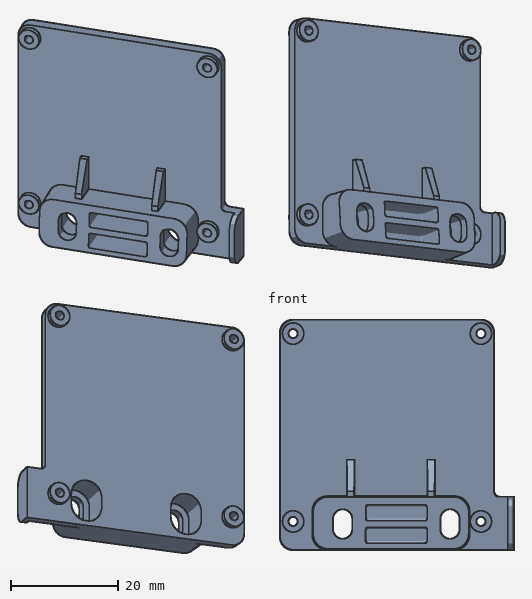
import cadquery as cq
import math


total_width = 43.7
plate_width = 40.0
plate_height = 43.0
plate_thickness = 2.0
plate_corner_radius = 2.5
tab_height = 10.0
tab_inner_radius = 1.0
draft_angle = 2.0

lip_thickness = 1.2
lip_reach = 3.0
lip_corner_radius = 2.4

boss_diameter = 3.98
boss_height = 1.0
boss_hole_diameter = 1.65
boss_left = 2.5
boss_bottom = 5.38
boss_pitch = 35.0

pedestal_left = 6.05
pedestal_width = 29.35
pedestal_height = 10.05
pedestal_corner_radius = 2.9
pedestal_reach_bottom = 6.5
face_lean_angle = 5.0

openings_x = 21.7
openings_z = 4.9
slot_pitch = 20.0
slot_width = 3.55
slot_height = 5.45
slot_ledge_reach = 4.0
slot_head_clearance = 1.25
recess_width = 11.5
recess_height = 3.0
recess_pitch = 4.2
recess_draft = 1.0
recess_edge_radius = 0.5

rib_pitch = 15.0
rib_width = 1.5
rib_reach = 3.98
rib_top = 16.9
rib_top_reach = 1.0
rib_nose_top = 11.0

draft_slope = math.tan(math.radians(draft_angle))
plate_inset = plate_thickness * draft_slope
pedestal_bottom = plate_inset
pedestal_centre_x = pedestal_left + pedestal_width / 2
pedestal_centre_z = pedestal_bottom + pedestal_height / 2
rib_foot = pedestal_centre_z
sides = (-1, 1)


def facing_front(y):
    """Workplane at depth y whose local axes are X and Z and whose normal is -Y."""
    return cq.Workplane("XZ", origin=(0, y, 0))


def drafted_slab(width, height):
    """Plate-thick slab from the origin, narrowing towards its front face."""
    slab = facing_front(plate_thickness).rect(width, height, centered=False)
    return slab.extrude(plate_thickness, taper=draft_angle)


def make_plate():
    """Drafted plate and tab with rounded outer corners and a filleted inner corner."""
    middle = plate_thickness / 2
    plate = drafted_slab(plate_width, plate_height).union(drafted_slab(total_width, tab_height))
    rounded_corners = [
        (0, 0, plate_corner_radius),
        (0, plate_height, plate_corner_radius),
        (plate_width, plate_height, plate_corner_radius),
        (plate_width, tab_height, tab_inner_radius),
    ]
    for x, z, radius in rounded_corners:
        corner = cq.selectors.NearestToPointSelector((x, middle, z))
        plate = plate.edges(corner).fillet(radius)
    return plate


def make_lip():
    """Tab end turned forward, with its two free corners rounded."""
    outer_base = total_width - plate_inset
    outer_tip = outer_base - lip_reach * draft_slope
    inner = total_width - lip_thickness
    section = [
        (inner, plate_inset),
        (outer_base, plate_inset),
        (outer_base, 0),
        (outer_tip, -lip_reach),
        (inner, -lip_reach),
    ]
    height = tab_height - 2 * plate_inset
    lip = cq.Workplane("XY", origin=(0, 0, plate_inset)).polyline(section).close().extrude(height)
    return lip.edges("|X and <Y").fillet(lip_corner_radius)


def make_pedestal():
    """Drafted block whose front face leans back towards the top."""
    profile = cq.Sketch().rect(pedestal_width, pedestal_height).vertices().fillet(pedestal_corner_radius)
    block = facing_front(0).center(pedestal_centre_x, pedestal_centre_z).placeSketch(profile)
    block = block.extrude(pedestal_reach_bottom, taper=draft_angle)
    top = pedestal_bottom + pedestal_height
    lean = top * math.tan(math.radians(face_lean_angle))
    side_section = [
        (0, 0),
        (-pedestal_reach_bottom, 0),
        (lean - pedestal_reach_bottom, top),
        (0, top),
    ]
    leaning_slab = cq.Workplane("YZ").polyline(side_section).close().extrude(total_width)
    return block.intersect(leaning_slab)


def make_rib(x):
    """Sloping rib rooted inside the pedestal, its two sides drafted by an oversized wedge."""
    outline = [
        (0, rib_foot),
        (0, rib_top),
        (-rib_top_reach, rib_top),
        (-rib_reach, rib_nose_top),
        (-rib_reach, rib_foot),
    ]
    rib = cq.Workplane("YZ", origin=(x, 0, 0)).polyline(outline).close()
    rib = rib.extrude(rib_width / 2, both=True)
    wedge = facing_front(0).center(x, rib_foot).rect(rib_width, 2 * rib_top)
    return rib.intersect(wedge.extrude(rib_reach, taper=draft_angle))


def boss_cylinders(diameter):
    """Four cylinders that pass through the plate and stand proud on both faces."""
    length = plate_thickness + 2 * boss_height
    columns = (boss_left, boss_left + boss_pitch)
    rows = (boss_bottom, boss_bottom + boss_pitch)
    centres = [(x, z) for x in columns for z in rows]
    cylinders = facing_front(plate_thickness + boss_height).pushPoints(centres).circle(diameter / 2)
    return cylinders.extrude(length)


def slot_prisms(width, height, reach):
    """Upright slots starting at the back of the plate and ending at the given reach in front of it."""
    centres = [(openings_x + side * slot_pitch / 2, openings_z) for side in sides]
    prisms = facing_front(plate_thickness).pushPoints(centres).slot2D(height, width, 90)
    return prisms.extrude(plate_thickness + reach)


def make_slots():
    """Slots through the front web, widened behind it for the screw heads."""
    widening = 2 * slot_head_clearance
    head_space = slot_prisms(slot_width + widening, slot_height + widening, slot_ledge_reach)
    return slot_prisms(slot_width, slot_height, pedestal_reach_bottom).union(head_space)


def make_recesses():
    """Two drafted pockets with rounded corners and floors level with the plate's front face."""
    centres = [(openings_x, openings_z + side * recess_pitch / 2) for side in sides]
    mouths = facing_front(-pedestal_reach_bottom).pushPoints(centres).rect(recess_width, recess_height)
    recesses = mouths.extrude(-pedestal_reach_bottom, taper=recess_draft)
    return recesses.edges("not <Y").fillet(recess_edge_radius)


body = make_plate().union(make_lip()).union(make_pedestal())
for side in sides:
    body = body.union(make_rib(pedestal_centre_x + side * rib_pitch / 2))
body = body.union(boss_cylinders(boss_diameter))
body = body.cut(boss_cylinders(boss_hole_diameter))
result = body.cut(make_slots()).cut(make_recesses())